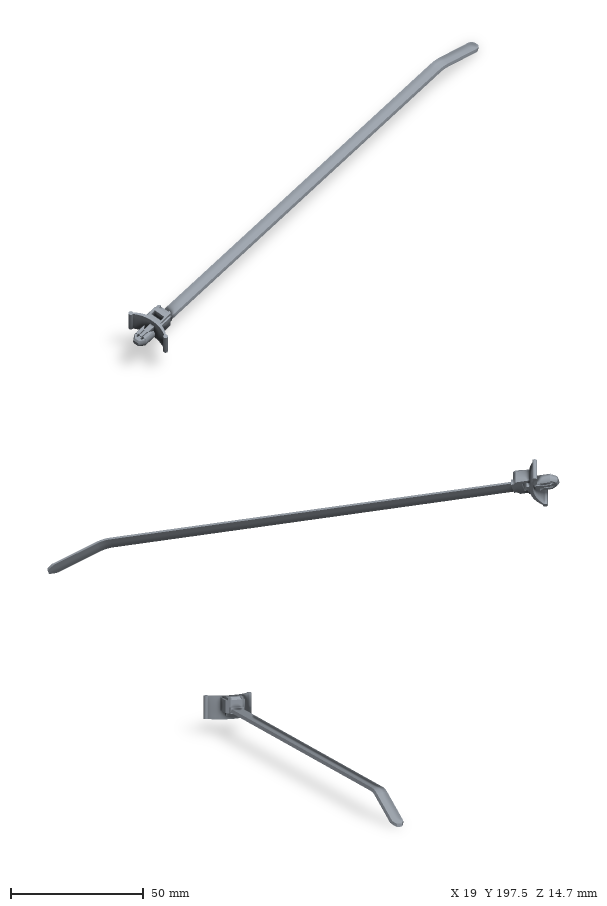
import cadquery as cq
import math

total_length = 197.5

strap_width = 5.3
strap_thickness = 1.2
strap_bottom = -0.4
strap_top_width = 4.3
bend_start = 173.2
bend_angle = math.radians(23)
bend_radius = 11.9
tip_length = 3.0
tip_width = 2.0
tip_bulge = 0.2

head_width = 7.7
head_front = 9.7
head_rear = 17.0
head_bottom = -1.0
head_top = 5.0
head_front_top = 4.3
head_slope_start = 13.5
head_corner_chamfer = 1.4
ridge_width = 6.3
rail_top = 4.0
collar_rear = 17.8
collar_top = 1.4
window_width = 4.7
window_front = 11.7
window_rear = 13.6
notch_width = 4.0
notch_front = 15.5
notch_bottom = 4.1

wing_height = 8.9
wing_span = 19.0
wing_edge_thickness = 0.7
wing_front = 9.5
bead_radius = 0.89
bead_y = 7.1
wing_rear = 10.9
heel_rear = 11.9
heel_bottom = -2.8

stem_width = 2.0
pin_radius = 3.0
pin_half_height = 2.0
barb_tip_y = 7.7
barb_thickness = 0.7
shoulder_y = 2.5
nose_tip_radius = 1.4
nose_base_radius = 2.2
nose_base_y = 1.2
nose_half_height = 1.5
nose_tip_half_height = 0.8
nose_bevel = 0.5
slot_bottom = 1.8
slot_inner = 0.5
slot_outer = 1.4
slot_waist = 1.0
slot_waist_y = 3.0
slot_top = 5.7


def box(width, y_front, y_rear, z_bottom, z_top):
    """Block centred on x = 0."""
    return (
        cq.Workplane("XY", origin=(0, 0, z_bottom))
        .center(0, (y_front + y_rear) / 2)
        .rect(width, y_rear - y_front)
        .extrude(z_top - z_bottom)
    )


def side_prism(points, width):
    """Prism across X, centred on x = 0, from (y, z) points."""
    return cq.Workplane("YZ").polyline(points).close().extrude(width / 2, both=True)


def mirrored(points):
    """Closed outline from the points of its half on the +X side."""
    return points + [(-x, y) for x, y in reversed(points)]


def make_strap():
    bend_end = bend_start + bend_radius * math.sin(bend_angle)
    bend_mid = bend_start + bend_radius * math.sin(bend_angle / 2)
    bend_end_z = strap_bottom - bend_radius * (1 - math.cos(bend_angle))
    bend_mid_z = strap_bottom - bend_radius * (1 - math.cos(bend_angle / 2))
    tail_run = total_length + strap_thickness - bend_end
    path = (
        cq.Workplane("YZ")
        .moveTo(head_rear, strap_bottom)
        .lineTo(bend_start, strap_bottom)
        .threePointArc((bend_mid, bend_mid_z), (bend_end, bend_end_z))
        .lineTo(bend_end + tail_run, bend_end_z - tail_run * math.tan(bend_angle))
    )
    strap_top = strap_bottom + strap_thickness
    section = mirrored([(strap_width / 2, strap_bottom), (strap_top_width / 2, strap_top)])
    strap = cq.Workplane("XZ", origin=(0, head_rear, 0)).polyline(section).close().sweep(path)

    half_width = strap_width / 2
    taper_start = total_length - tip_length
    taper_mid = ((half_width + tip_width / 2) / 2 + tip_bulge, total_length - tip_length / 2)
    outline = (
        cq.Workplane("XY", origin=(0, 0, -total_length / 2))
        .moveTo(-half_width, 0)
        .lineTo(half_width, 0)
        .lineTo(half_width, taper_start)
        .threePointArc(taper_mid, (tip_width / 2, total_length))
        .lineTo(-tip_width / 2, total_length)
        .threePointArc((-taper_mid[0], taper_mid[1]), (-half_width, taper_start))
        .close()
        .extrude(total_length)
    )
    return strap.intersect(outline)


def make_head():
    profile = [
        (head_front, head_bottom),
        (head_rear, head_bottom),
        (head_rear, head_top),
        (head_slope_start, head_top),
        (head_front, head_front_top),
    ]
    head = side_prism(profile, head_width)
    head = head.faces(">Y").edges("|Z").chamfer(head_corner_chamfer)
    head = head.union(box(strap_width, window_rear, collar_rear, head_bottom, collar_top))

    rails = box(head_width, head_front, head_rear, rail_top, head_top)
    head = head.cut(rails.cut(box(ridge_width, head_front, head_rear, rail_top, head_top)))

    notch = [
        (notch_front, head_top),
        (head_rear, head_top),
        (head_rear, notch_bottom),
    ]
    head = head.cut(side_prism(notch, notch_width))

    return head.cut(box(window_width, window_front, window_rear, head_bottom, head_top))


def make_wings():
    bead_x = wing_span / 2 - bead_radius
    edge_front = bead_y - wing_edge_thickness / 2
    edge_rear = bead_y + wing_edge_thickness / 2
    sheet = (
        cq.Workplane("XY")
        .moveTo(-bead_x, edge_front)
        .threePointArc((0, wing_front), (bead_x, edge_front))
        .lineTo(bead_x, edge_rear)
        .threePointArc((0, wing_rear), (-bead_x, edge_rear))
        .close()
        .extrude(wing_height / 2, both=True)
    )
    beads = (
        cq.Workplane("XY")
        .pushPoints([(-bead_x, bead_y), (bead_x, bead_y)])
        .circle(bead_radius)
        .extrude(wing_height / 2, both=True)
    )
    heel = box(window_width, head_front, heel_rear, heel_bottom, head_bottom)
    return sheet.union(beads).union(heel)


def make_pin():
    body = (
        cq.Workplane("XY")
        .moveTo(0, 0)
        .lineTo(nose_tip_radius, 0)
        .lineTo(nose_base_radius, nose_base_y)
        .lineTo(pin_radius, shoulder_y)
        .lineTo(pin_radius, barb_tip_y)
        .lineTo(0, barb_tip_y)
        .close()
        .revolve(360, (0, 0, 0), (0, 1, 0))
    )

    upper_side = [
        (barb_tip_y, pin_half_height),
        (shoulder_y, pin_half_height),
        (shoulder_y, nose_half_height),
        (nose_bevel, nose_half_height),
        (0, nose_tip_half_height),
    ]
    lower_side = [(y, -z) for y, z in reversed(upper_side)]
    body = body.intersect(side_prism(upper_side + lower_side, 2 * pin_radius))

    slot_outline = [
        (slot_inner, slot_bottom),
        (slot_outer, slot_bottom),
        (slot_outer, slot_waist_y),
        (slot_waist, slot_waist_y),
        (slot_waist, slot_top),
        (pin_radius - barb_thickness, barb_tip_y),
        (stem_width / 2, barb_tip_y),
        (stem_width / 2, slot_top),
        (slot_inner, slot_top),
    ]
    slot = cq.Workplane("XY").polyline(slot_outline).close().extrude(pin_half_height, both=True)
    body = body.cut(slot).cut(slot.mirror("YZ"))
    stem = box(stem_width, slot_top, head_front, -pin_half_height, pin_half_height)
    return body.union(stem)


result = make_strap().union(make_head()).union(make_wings()).union(make_pin())